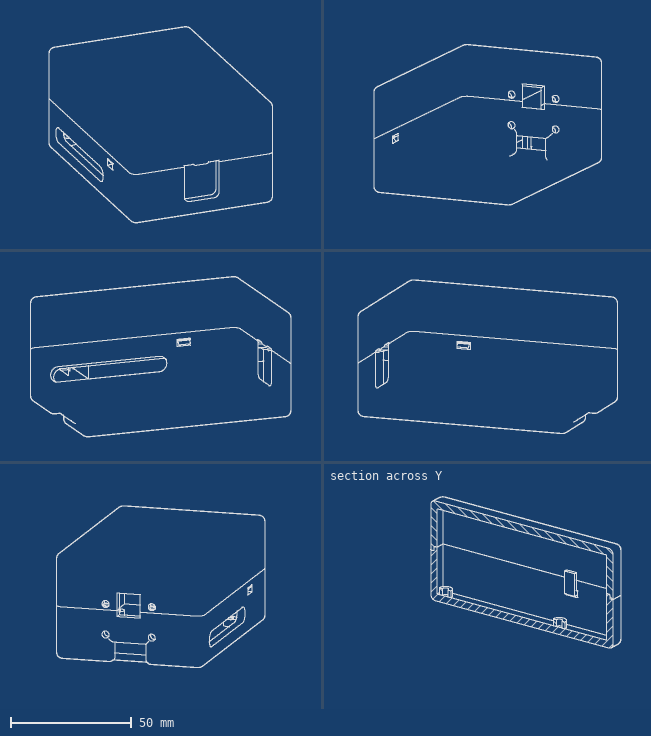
import cadquery as cq

LENGTH = 93.0
WIDTH = 64.0
HEIGHT = 45.0
WALL = 3.5
SEAM_Z = HEIGHT / 2
CORNER_RADIUS = 3.0
RIM_RADIUS = 2.5
INNER_LENGTH = LENGTH - 2 * WALL
INNER_WIDTH = WIDTH - 2 * WALL
LEFT_FACE_X = -LENGTH / 2
RIGHT_FACE_X = LENGTH / 2
FRONT_FACE_Y = -WIDTH / 2
SELECT_MARGIN = 0.01

TONGUE_THICKNESS = 2.0
TONGUE_HEIGHT = 2.0
TONGUE_TOP_Z = SEAM_Z + TONGUE_HEIGHT
TONGUE_CHAMFER = 0.6
TONGUE_CAMERA_GAP = 14.0

CAMERA_WINDOW = 10.0
CAMERA_Z = 25.0
CAMERA_HOLE_DIAMETER = 3.0
CAMERA_HOLE_SPACING_Y = 20.0
CAMERA_HOLE_DROP = 13.0

CARD_NOTCH_DEPTH = 3.8
CARD_NOTCH_WIDTH = 14.0
CARD_NOTCH_TOP_Z = 8.6
CARD_NOTCH_ROUNDING = 2.0

HEADER_SLOT_LENGTH = 51.6
HEADER_SLOT_HEIGHT = 6.6
HEADER_SLOT_X = -10.8
HEADER_SLOT_Z = 10.0

PORT_WIDTH = 15.5
PORT_Y = -0.75
PORT_BOTTOM_Z = 6.7
PORT_TOP_Z = 23.1
PORT_CORNER_RADIUS = 2.3
PORT_TAB_WIDTH = 5.8
PORT_TAB_Y = -1.0

SNAP_X = 22.4
SNAP_WINDOW_WIDTH = 5.9
SNAP_WINDOW_BOTTOM_Z = 16.8
SNAP_WINDOW_TOP_Z = 19.8
HOOK_WIDTH = 5.2
HOOK_ARM_THICKNESS = 1.5
HOOK_ARM_TOP_Z = 28.0
HOOK_BOTTOM_Z = 17.8
HOOK_TIP_Z = 19.1
HOOK_TOE = 1.95
HOOK_REACH = 1.25

STANDOFF_DIAMETER = 6.0
STANDOFF_BORE = 2.7
STANDOFF_HEIGHT = 3.0
STANDOFF_SPACING_X = 58.0
STANDOFF_SPACING_Y = 49.0
STANDOFF_RIGHT_X = 19.0


def block(x_range, y_range, z_range):
    """Box given by its low and high limit along each axis."""
    (x0, x1), (y0, y1), (z0, z1) = x_range, y_range, z_range
    return cq.Workplane("XY").box(x1 - x0, y1 - y0, z1 - z0, centered=False).translate((x0, y0, z0))


def centred_block(length, width, z_low, z_high):
    return block((-length / 2, length / 2), (-width / 2, width / 2), (z_low, z_high))


def rounded_half(z_low, z_high, rim):
    """Half of the outer shape, with rounded corners and one rounded rim."""
    half = centred_block(LENGTH, WIDTH, z_low, z_high)
    return half.edges("|Z").fillet(CORNER_RADIUS).faces(rim).edges().fillet(RIM_RADIUS)


def tongue_frame():
    """Rim tongue, interrupted at the camera window and at the port opening."""
    outer_length = INNER_LENGTH + 2 * TONGUE_THICKNESS
    outer_width = INNER_WIDTH + 2 * TONGUE_THICKNESS
    frame = centred_block(outer_length, outer_width, SEAM_Z, TONGUE_TOP_Z)
    frame = frame.faces(">Z").edges().chamfer(TONGUE_CHAMFER)
    frame = frame.cut(centred_block(INNER_LENGTH, INNER_WIDTH, SEAM_Z, TONGUE_TOP_Z))
    gap_z = (SEAM_Z, TONGUE_TOP_Z)
    camera_gap = block((LEFT_FACE_X, 0), (-TONGUE_CAMERA_GAP / 2, TONGUE_CAMERA_GAP / 2), gap_z)
    port_gap = block((0, RIGHT_FACE_X), (PORT_Y - PORT_WIDTH / 2, PORT_Y + PORT_WIDTH / 2), gap_z)
    return frame.cut(camera_gap).cut(port_gap)


def camera_window():
    half = CAMERA_WINDOW / 2
    return block((LEFT_FACE_X, LEFT_FACE_X + WALL), (-half, half), (CAMERA_Z - half, CAMERA_Z + half))


def camera_holes(height):
    """One row of two screw holes through the left wall."""
    half_spacing = CAMERA_HOLE_SPACING_Y / 2
    return (
        cq.Workplane("YZ", origin=(LEFT_FACE_X, 0, 0))
        .pushPoints([(-half_spacing, height), (half_spacing, height)])
        .circle(CAMERA_HOLE_DIAMETER / 2)
        .extrude(WALL)
    )


def port_opening():
    """Rounded USB opening through the right wall."""
    cutter = block(
        (RIGHT_FACE_X - WALL, RIGHT_FACE_X),
        (PORT_Y - PORT_WIDTH / 2, PORT_Y + PORT_WIDTH / 2),
        (PORT_BOTTOM_Z, PORT_TOP_Z),
    )
    return cutter.edges("|X and <Z").fillet(PORT_CORNER_RADIUS)


def port_tab():
    """Tab with sloping ends that fills the middle of the opening down to the seam."""
    drop = PORT_TOP_Z - SEAM_Z
    half = PORT_TAB_WIDTH / 2
    return (
        cq.Workplane("YZ", origin=(RIGHT_FACE_X - WALL, PORT_TAB_Y, 0))
        .polyline([(-half, SEAM_Z), (half, SEAM_Z), (half + drop, PORT_TOP_Z), (-half - drop, PORT_TOP_Z)])
        .close()
        .extrude(WALL)
    )


def snap_hook():
    """Arm hanging inside the front wall, with a wedge on a short toe pointing into the snap window."""
    wall_y = FRONT_FACE_Y + WALL
    arm_inner_y = wall_y + HOOK_ARM_THICKNESS
    toe_y = wall_y - HOOK_TOE
    tip_y = toe_y - HOOK_REACH
    return (
        cq.Workplane("YZ", origin=(SNAP_X - HOOK_WIDTH / 2, 0, 0))
        .moveTo(wall_y, HOOK_ARM_TOP_Z)
        .lineTo(wall_y, SNAP_WINDOW_TOP_Z)
        .lineTo(toe_y, SNAP_WINDOW_TOP_Z)
        .lineTo(tip_y, HOOK_TIP_Z)
        .lineTo(toe_y, HOOK_BOTTOM_Z)
        .lineTo(arm_inner_y, HOOK_BOTTOM_Z)
        .lineTo(arm_inner_y, HOOK_ARM_TOP_Z)
        .close()
        .extrude(HOOK_WIDTH)
    )


def arm_support():
    """Shelf that ties the hook arm to the lid wall above the tongue."""
    wall_y = FRONT_FACE_Y + WALL
    half = HOOK_WIDTH / 2
    return block(
        (SNAP_X - half, SNAP_X + half),
        (wall_y - TONGUE_THICKNESS, wall_y + HOOK_ARM_THICKNESS),
        (TONGUE_TOP_Z, HOOK_ARM_TOP_Z),
    )


def cut_card_notch(base):
    """Notch through the left wall and just into the floor, with its outer and lower edges rounded."""
    half = CARD_NOTCH_WIDTH / 2
    inner_x = LEFT_FACE_X + CARD_NOTCH_DEPTH
    base = base.cut(block((LEFT_FACE_X, inner_x), (-half, half), (0, CARD_NOTCH_TOP_Z)))
    top_edge = base.edges(cq.selectors.NearestToPointSelector((LEFT_FACE_X, 0, CARD_NOTCH_TOP_Z)))
    notch_underside = cq.selectors.BoxSelector(
        (LEFT_FACE_X, -half - SELECT_MARGIN, -SELECT_MARGIN),
        (inner_x + SELECT_MARGIN, half + SELECT_MARGIN, SELECT_MARGIN),
    )
    lower_edges = base.edges(notch_underside)
    return base.newObject(top_edge.vals() + lower_edges.vals()).fillet(CARD_NOTCH_ROUNDING)


def cut_header_slot(base):
    slot = (
        cq.Workplane("XZ", origin=(HEADER_SLOT_X, FRONT_FACE_Y + WALL, HEADER_SLOT_Z))
        .slot2D(HEADER_SLOT_LENGTH, HEADER_SLOT_HEIGHT)
        .extrude(WALL)
    )
    return base.cut(slot)


def cut_snap_windows(base):
    """One pass through both long walls leaves a window in each."""
    half = SNAP_WINDOW_WIDTH / 2
    return base.cut(
        block(
            (SNAP_X - half, SNAP_X + half),
            (FRONT_FACE_Y, -FRONT_FACE_Y),
            (SNAP_WINDOW_BOTTOM_Z, SNAP_WINDOW_TOP_Z),
        )
    )


def make_base():
    base = rounded_half(0, SEAM_Z, "<Z")
    base = base.cut(centred_block(INNER_LENGTH, INNER_WIDTH, WALL, SEAM_Z))
    base = cut_card_notch(base)
    base = base.cut(camera_window())
    base = base.cut(camera_holes(CAMERA_Z - CAMERA_HOLE_DROP))
    base = base.cut(port_opening())
    base = cut_header_slot(base)
    base = cut_snap_windows(base)
    return base.union(tongue_frame())


def make_lid():
    lid = rounded_half(SEAM_Z, HEIGHT, ">Z")
    lid = lid.cut(centred_block(INNER_LENGTH, INNER_WIDTH, SEAM_Z, HEIGHT - WALL))
    lid = lid.cut(tongue_frame())
    lid = lid.cut(camera_window())
    lid = lid.cut(camera_holes(CAMERA_Z))
    lid = lid.cut(port_opening()).union(port_tab())
    hook = snap_hook().union(arm_support())
    return lid.union(hook).union(hook.mirror("XZ"))


def make_standoff(x, y):
    """Bored spacer standing on the floor."""
    return (
        cq.Workplane("XY", origin=(x, y, WALL))
        .circle(STANDOFF_DIAMETER / 2)
        .circle(STANDOFF_BORE / 2)
        .extrude(STANDOFF_HEIGHT)
    )


base = make_base()
lid = make_lid()
standoffs = []
for standoff_x in (STANDOFF_RIGHT_X - STANDOFF_SPACING_X, STANDOFF_RIGHT_X):
    for standoff_y in (-STANDOFF_SPACING_Y / 2, STANDOFF_SPACING_Y / 2):
        standoffs.append(make_standoff(standoff_x, standoff_y).val())

result = cq.Compound.makeCompound([base.val(), lid.val(), *standoffs])